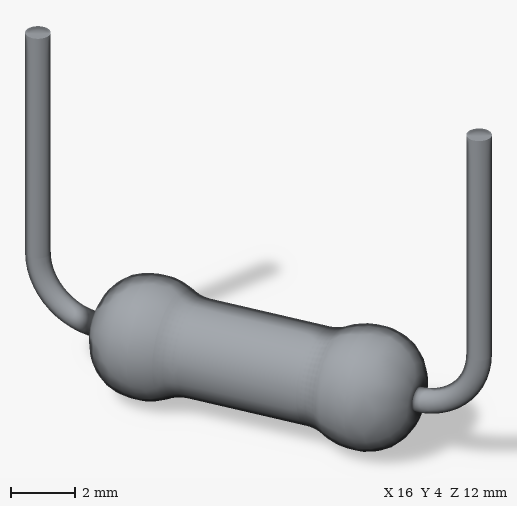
import cadquery as cq
import math

overall_length = 16.04
overall_height = 12.0

body_length = 11.0
bulb_diameter = 4.0
waist_diameter = 3.19
bulb_land = 0.3

lead_diameter = 0.8

half_body = body_length / 2
bulb_radius = bulb_diameter / 2
waist_radius = waist_diameter / 2
lead_radius = lead_diameter / 2
round_radius = bulb_radius - lead_radius
lead_x = overall_length / 2 - lead_radius
lead_top = overall_height - bulb_radius
bend_radius = lead_x - half_body


def make_body():
    """Dumbbell-shaped body with a through bore that fits the lead wire."""
    land_outer = half_body - round_radius
    land_inner = land_outer - bulb_land

    half_step = (bulb_radius - waist_radius) / 2
    sweep = math.acos(1 - half_step / round_radius)
    arc_run = round_radius * math.sin(sweep)
    inflection_x = land_inner - arc_run
    waist_x = inflection_x - arc_run
    inflection_r = bulb_radius - half_step

    shoulder_mid_run = round_radius * math.sin(sweep / 2)
    shoulder_mid_drop = round_radius * (1 - math.cos(sweep / 2))
    convex_mid = (land_inner - shoulder_mid_run, bulb_radius - shoulder_mid_drop)
    concave_mid = (waist_x + shoulder_mid_run, waist_radius + shoulder_mid_drop)
    round_mid_offset = round_radius * math.sin(math.radians(45))
    round_mid = (land_outer + round_mid_offset, lead_radius + round_mid_offset)

    def mirrored(point):
        return (-point[0], point[1])

    land_end = (land_outer, bulb_radius)
    land_start = (land_inner, bulb_radius)
    inflection = (inflection_x, inflection_r)
    waist_end = (waist_x, waist_radius)
    bore_end = (half_body, lead_radius)

    profile = (
        cq.Workplane("XY")
        .moveTo(*bore_end)
        .threePointArc(round_mid, land_end)
        .lineTo(*land_start)
        .threePointArc(convex_mid, inflection)
        .threePointArc(concave_mid, waist_end)
        .lineTo(*mirrored(waist_end))
        .threePointArc(mirrored(concave_mid), mirrored(inflection))
        .threePointArc(mirrored(convex_mid), mirrored(land_start))
        .lineTo(*mirrored(land_end))
        .threePointArc(mirrored(round_mid), mirrored(bore_end))
        .close()
    )
    return profile.revolve(360, (0, 0, 0), (1, 0, 0))


def make_lead():
    """One wire through the body, bent upward at both ends."""
    path = (
        cq.Workplane("XZ")
        .moveTo(-lead_x, lead_top)
        .lineTo(-lead_x, bend_radius)
        .radiusArc((-half_body, 0), -bend_radius)
        .lineTo(half_body, 0)
        .radiusArc((lead_x, bend_radius), -bend_radius)
        .lineTo(lead_x, lead_top)
    )
    wire_end = cq.Workplane("XY", origin=(-lead_x, 0, lead_top)).circle(lead_radius)
    return wire_end.sweep(path)


body = make_body()
lead = make_lead()

result = cq.Compound.makeCompound([body.val(), lead.val()])